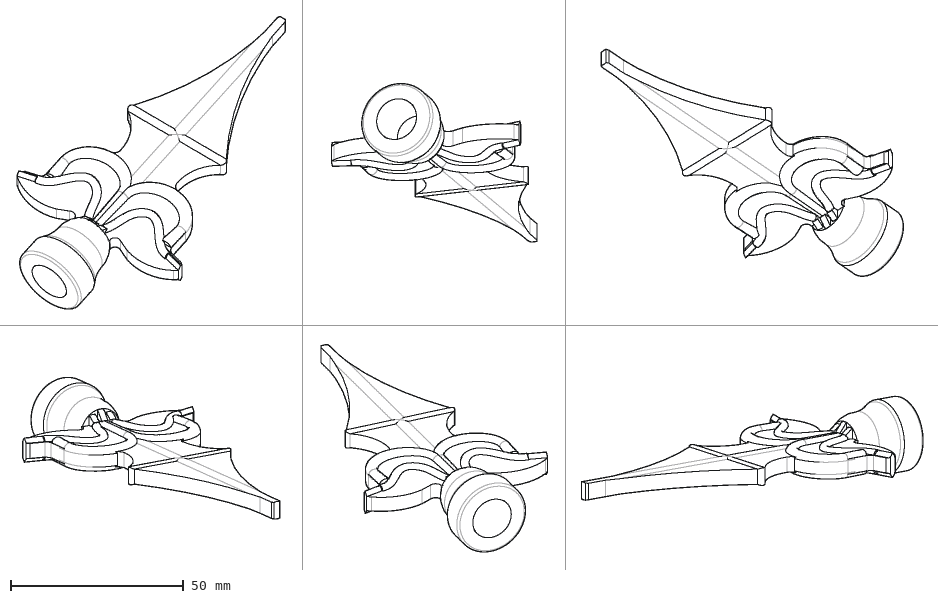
import cadquery as cq
import math

LENGTH = 115.0

SOCKET_RADIUS = 22.0 / 2
SOCKET_LENGTH = 7.1
SHOULDER_Y = 8.2
SOCKET_ROUND = 0.7
SHOULDER_RADIUS = 10.5
NECK_RADIUS = 8.5
NECK_Y = 14.4
CROWN_RADIUS = 6.7
CROWN_Y = 20.7
BORE_RADIUS = 12.3 / 2
BORE_DEPTH = 17.2

PLATE_HALF = 2.3
RIDGE_HALF = 2.6
RIB_HALF = 3.7
RIB_SIDE_HALF = 1.8
PLATE_ROOT_Y = 19.5

TIP_HALF_WIDTH = 1.0
TIP_BEVEL = 0.3
TIP_BEVEL_LENGTH = 0.8
TIP_STRAIGHT_Y = 108.1
BARB_HALF_WIDTH = 17.4
BARB_Y = 63.0
BARB_HALF_LENGTH = 1.4
BARB_ROUND = 0.8
WAIST_HALF_WIDTH = 10.1
WAIST_Y = 48.9
RIDGE_WIDTH = 3.9
RIDGE_START_Y = 38.0

PETAL_OUTER_CENTER = (10.9, 36.2)
PETAL_OUTER_RADII = (11.6, 10.9)
PETAL_INNER_CENTER = (10.6, 36.0)
PETAL_INNER_RADII = (8.6, 6.3)
PETAL_STEPS = 10
PETAL_FOOT_Y = 29.2
PETAL_FOOT_INNER_X = 18.3
STALK_ROOT_WIDTH = 0.9
PETAL_SIDE_X = PETAL_OUTER_CENTER[0] + PETAL_OUTER_RADII[0]

LEAF_TIP_X = 29.0
LEAF_TIP_Y = 24.8
VEIN_END = (23.5, 26.2)
VEIN_WIDTH = 2.3
RIB_ROOT_Y = 23.0
VEIN_ROOT_X = 2.9
VEIN_STEPS = 12
TIP_BAR_WIDTH = 2.8
RAMP_WIDTH = 2.1


def ellipse_point(center, radii, angle):
    return (center[0] + radii[0] * math.cos(angle), center[1] + radii[1] * math.sin(angle))


def mirrored(half):
    """The half at positive X together with its twin at negative X."""
    return half.union(half.mirror("YZ"))


def slab(outline, half_thickness):
    """Flat plate centred on Z = 0."""
    return outline.extrude(half_thickness, both=True)


def crest(start, peak, end, sharp):
    """Edges of a rib top: a roof with a sharp crest, or one round dome."""
    if sharp:
        return [cq.Edge.makeLine(start, peak), cq.Edge.makeLine(peak, end)]
    return [cq.Edge.makeThreePointArc(start, peak, end)]


def rib_section(side_a, side_b, sharp=False):
    """Upright section between two plan points, alike on both faces of the plate."""
    (ax, ay), (bx, by) = side_a, side_b
    middle = ((ax + bx) / 2, (ay + by) / 2)
    a_low = cq.Vector(ax, ay, -RIB_SIDE_HALF)
    a_high = cq.Vector(ax, ay, RIB_SIDE_HALF)
    b_low = cq.Vector(bx, by, -RIB_SIDE_HALF)
    b_high = cq.Vector(bx, by, RIB_SIDE_HALF)
    edges = [cq.Edge.makeLine(a_low, a_high)]
    edges += crest(a_high, cq.Vector(*middle, RIB_HALF), b_high, sharp)
    edges.append(cq.Edge.makeLine(b_high, b_low))
    edges += crest(b_low, cq.Vector(*middle, -RIB_HALF), a_low, sharp)
    return cq.Wire.assembleEdges(edges)


def rib(stations, sharp=False):
    """Solid rib lofted through pairs of plan points, one on each side of the rib."""
    sections = [rib_section(side_a, side_b, sharp) for side_a, side_b in stations]
    return cq.Workplane(obj=cq.Solid.makeLoft(sections))


def bell():
    profile = (
        cq.Workplane("XY")
        .lineTo(SOCKET_RADIUS - SOCKET_ROUND, 0)
        .radiusArc((SOCKET_RADIUS, SOCKET_ROUND), -SOCKET_ROUND)
        .lineTo(SOCKET_RADIUS, SOCKET_LENGTH)
        .lineTo(SHOULDER_RADIUS, SHOULDER_Y)
        .threePointArc((9.1, 11.3), (NECK_RADIUS, NECK_Y))
        .threePointArc((8.2, 17.7), (CROWN_RADIUS, CROWN_Y))
        .lineTo(0, CROWN_Y)
        .close()
    )
    return profile.revolve(360, (0, 0, 0), (0, 1, 0))


def bore():
    return cq.Workplane("XZ").circle(BORE_RADIUS).extrude(-BORE_DEPTH)


def blade_outline():
    """Half outline of the blade; its lower end is buried in the petal."""
    root_x = 13.8
    barb_x = BARB_HALF_WIDTH - BARB_ROUND
    return (
        cq.Workplane("XY")
        .moveTo(0, RIDGE_START_Y)
        .lineTo(root_x, RIDGE_START_Y)
        .lineTo(root_x, 46)
        .lineTo(11.5, 47.0)
        .threePointArc((10.5, 47.8), (WAIST_HALF_WIDTH, WAIST_Y))
        .threePointArc((11.8, 56.4), (barb_x, BARB_Y - BARB_HALF_LENGTH))
        .threePointArc((BARB_HALF_WIDTH, BARB_Y), (barb_x, BARB_Y + BARB_HALF_LENGTH))
        .threePointArc((5.6, 87.0), (TIP_HALF_WIDTH + TIP_BEVEL, TIP_STRAIGHT_Y))
        .lineTo(TIP_HALF_WIDTH + TIP_BEVEL, LENGTH - TIP_BEVEL_LENGTH)
        .lineTo(TIP_HALF_WIDTH, LENGTH)
        .lineTo(0, LENGTH)
        .close()
    )


def ridge_bar(plane, width, start, length, center):
    """Bar with shallow domed top and bottom, drawn across `plane` and run along its normal."""
    half = width / 2
    return (
        cq.Workplane(plane)
        .workplane(offset=start)
        .center(center, 0)
        .moveTo(-half, PLATE_HALF)
        .threePointArc((0, RIDGE_HALF), (half, PLATE_HALF))
        .lineTo(half, -PLATE_HALF)
        .threePointArc((0, -RIDGE_HALF), (-half, -PLATE_HALF))
        .close()
        .extrude(length)
    )


def blade():
    spine = ridge_bar("XZ", RIDGE_WIDTH, -LENGTH, LENGTH - RIDGE_START_Y, 0)
    cross_ridge = ridge_bar("YZ", 2 * BARB_HALF_LENGTH, -BARB_HALF_WIDTH, 2 * BARB_HALF_WIDTH, BARB_Y)
    envelope = mirrored(slab(blade_outline(), RIB_HALF))
    ridges = spine.union(cross_ridge).intersect(envelope)
    return mirrored(slab(blade_outline(), PLATE_HALF)).union(ridges)


def petal_outline():
    """Half outline of the petal and the leaf; the petal edge runs inside the petal rib."""
    inset = 1.2
    top_y = PETAL_OUTER_CENTER[1] + PETAL_OUTER_RADII[1] - inset
    return (
        cq.Workplane("XY")
        .moveTo(0, PLATE_ROOT_Y)
        .lineTo(6.4, PLATE_ROOT_Y)
        .lineTo(6.4, 21.3)
        .threePointArc((7.4, 22.7), (9.2, 22.5))
        .lineTo(12.6, 20.9)
        .threePointArc((18.0, 20.0), (LEAF_TIP_X - 1.2, 23.0))
        .lineTo(LEAF_TIP_X, 23.9)
        .lineTo(LEAF_TIP_X, 25.6)
        .lineTo(LEAF_TIP_X - 0.9, 26.6)
        .lineTo(23.7, 27.7)
        .threePointArc((22.9, 28.3), (PETAL_SIDE_X, PETAL_FOOT_Y))
        .lineTo(PETAL_SIDE_X, PETAL_OUTER_CENTER[1])
        .lineTo(PETAL_SIDE_X - inset, PETAL_OUTER_CENTER[1])
        .threePointArc((18.4, 43.1), (PETAL_OUTER_CENTER[0], top_y))
        .threePointArc((4.6, 43.7), (0, 39.1))
        .close()
    )


def petal_rib():
    """Foot, curl and stalk of the petal rib, cut off at the middle where its twin begins."""
    curl = []
    for step in range(PETAL_STEPS + 1):
        angle = math.pi * step / PETAL_STEPS
        outer = ellipse_point(PETAL_OUTER_CENTER, PETAL_OUTER_RADII, angle)
        inner = ellipse_point(PETAL_INNER_CENTER, PETAL_INNER_RADII, angle)
        curl.append((outer, inner))
    foot_end = ((PETAL_SIDE_X, PETAL_FOOT_Y), (PETAL_FOOT_INNER_X, PETAL_FOOT_Y))
    stalk_end = ((0, PLATE_ROOT_Y), (STALK_ROOT_WIDTH, PLATE_ROOT_Y))
    positive_x = cq.Workplane("XY").box(LENGTH, LENGTH, LENGTH, centered=(False, False, True))
    foot = rib([foot_end, curl[0]])
    stalk = rib([curl[-1], stalk_end])
    return rib(curl).union(foot).union(stalk).intersect(positive_x)


def vein_rib():
    """Rib of even width running up from the bell and over the leaf."""
    path = cq.Edge.makeSpline([
        cq.Vector(VEIN_ROOT_X, RIB_ROOT_Y),
        cq.Vector(4.8, 28.3),
        cq.Vector(6.7, 32.7),
        cq.Vector(10.9, 35.3),
        cq.Vector(15.2, 33.0),
        cq.Vector(20.0, 27.6),
        cq.Vector(*VEIN_END),
    ])
    stations = []
    for step in range(VEIN_STEPS + 1):
        point = path.positionAt(step / VEIN_STEPS)
        along = path.tangentAt(step / VEIN_STEPS)
        across = cq.Vector(-along.y, along.x) * (VEIN_WIDTH / 2)
        left = point + across
        right = point - across
        stations.append(((left.x, left.y), (right.x, right.y)))
    return rib(stations)


def tip_bar():
    """Sharp-crested bar that carries the vein on to the leaf tip, trimmed to the leaf."""
    stations = []
    for x, y in (VEIN_END, (LEAF_TIP_X, LEAF_TIP_Y)):
        stations.append(((x, y + TIP_BAR_WIDTH / 2), (x, y - TIP_BAR_WIDTH / 2)))
    return rib(stations, sharp=True).intersect(slab(petal_outline(), RIB_HALF))


def ramp(x):
    """Wedge that carries a rib root up onto the crown of the bell."""
    crown_z = math.sqrt(CROWN_RADIUS**2 - (abs(x) + RAMP_WIDTH / 2) ** 2)
    outline = [
        (PLATE_ROOT_Y, 0),
        (RIB_ROOT_Y, 0),
        (RIB_ROOT_Y, RIB_HALF),
        (CROWN_Y, crown_z),
        (PLATE_ROOT_Y, crown_z),
    ]
    upper = (
        cq.Workplane("YZ", origin=(x, 0, 0)).polyline(outline).close().extrude(RAMP_WIDTH / 2, both=True)
    )
    return upper.union(upper.mirror("XY"))


petal_half = slab(petal_outline(), PLATE_HALF).union(petal_rib()).union(vein_rib()).union(tip_bar())
result = bell().union(blade()).union(mirrored(petal_half))
for ramp_x in (-VEIN_ROOT_X, 0, VEIN_ROOT_X):
    result = result.union(ramp(ramp_x))
result = result.cut(bore())